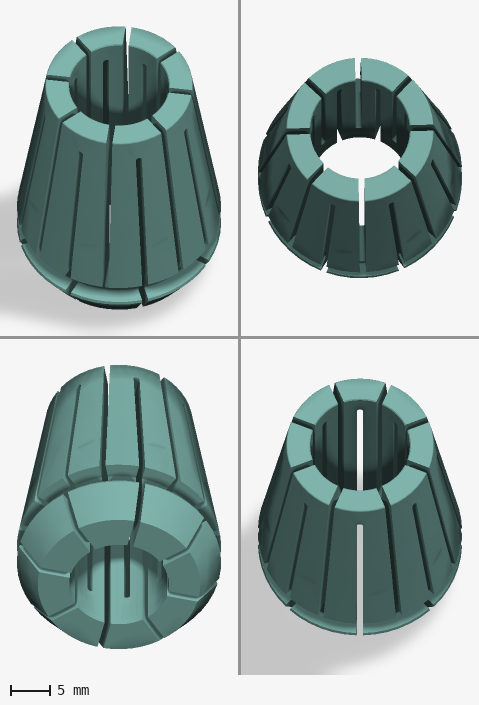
import cadquery as cq
import math

length = 34.0
max_radius = 26.0 / 2
bore_radius = 12.7 / 2

nose_half_angle = 30.0
nose_top = 4.6
lip_chamfer_height = 0.37
lip_chamfer_width = 0.15

groove_bottom = nose_top + lip_chamfer_height
groove_top = 8.13
groove_radius = 11.05
groove_fillet = 0.2

taper_half_angle = 8.0
top_edge_fillet = 0.2
bore_edge_chamfer = 0.15

slots_per_set = 8
slot_width = 0.78
lower_slot_end = 31.05
upper_slot_end = 5.47


def cone_rise(height, half_angle):
    """Radius change of a cone over the given height."""
    return height * math.tan(math.radians(half_angle))


def make_body():
    """Revolved collet body with its bore, groove and broken edges."""
    nose_radius = max_radius - cone_rise(nose_top, nose_half_angle)
    top_radius = max_radius - cone_rise(length - groove_top, taper_half_angle)
    arc_offset = groove_fillet * (1 - math.sqrt(0.5))

    profile = (
        cq.Workplane("XZ")
        .moveTo(bore_radius, 0)
        .lineTo(nose_radius, 0)
        .lineTo(max_radius, nose_top)
        .lineTo(max_radius - lip_chamfer_width, groove_bottom)
        .lineTo(groove_radius + groove_fillet, groove_bottom)
        .threePointArc(
            (groove_radius + arc_offset, groove_bottom + arc_offset),
            (groove_radius, groove_bottom + groove_fillet),
        )
        .lineTo(groove_radius, groove_top - groove_fillet)
        .threePointArc(
            (groove_radius + arc_offset, groove_top - arc_offset),
            (groove_radius + groove_fillet, groove_top),
        )
        .lineTo(max_radius, groove_top)
        .lineTo(top_radius, length)
        .lineTo(bore_radius + bore_edge_chamfer, length)
        .lineTo(bore_radius, length - bore_edge_chamfer)
        .close()
    )
    body = profile.revolve(360, (0, 0, 0), (0, 1, 0))
    top_outer_edge = cq.selectors.RadiusNthSelector(-1)
    return body.faces(">Z").edges(top_outer_edge).fillet(top_edge_fillet)


def make_slot(open_end, round_end, angle):
    """Radial slot cutter from the axis outwards, with a round closed end."""
    half_width = slot_width / 2
    direction = math.copysign(1, round_end - open_end)
    arc_start = round_end - direction * half_width
    outline = (
        cq.Workplane("YZ")
        .moveTo(-half_width, open_end)
        .lineTo(-half_width, arc_start)
        .threePointArc((0, round_end), (half_width, arc_start))
        .lineTo(half_width, open_end)
        .close()
    )
    reach = 2 * max_radius
    return outline.extrude(reach).rotate((0, 0, 0), (0, 0, 1), angle)


result = make_body()
slot_pitch = 360 / slots_per_set
for index in range(slots_per_set):
    lower_angle = index * slot_pitch
    upper_angle = lower_angle + slot_pitch / 2
    result = result.cut(make_slot(0, lower_slot_end, lower_angle))
    result = result.cut(make_slot(length, upper_slot_end, upper_angle))